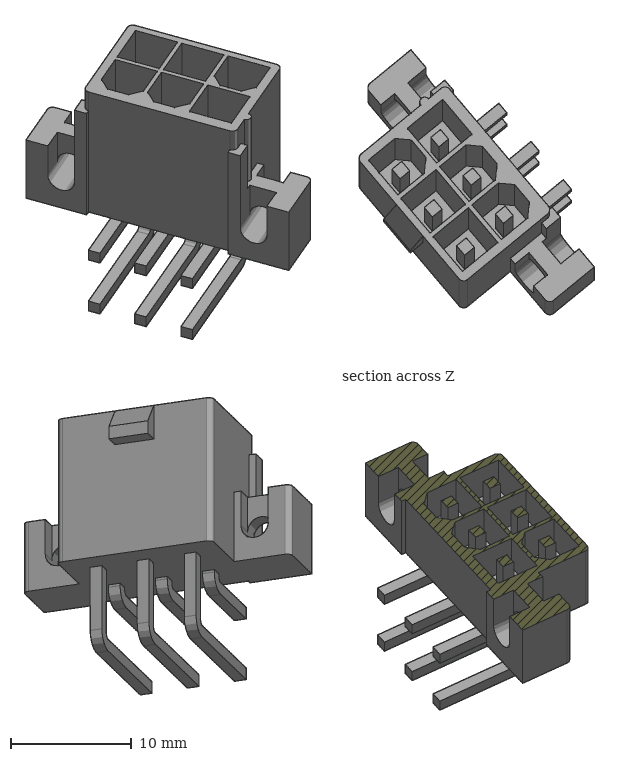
import cadquery as cq


columns = 3
rows = 2
contact_pitch = 4.2
housing_width = 13.78
housing_back = 4.62
housing_front = -5.0
housing_height = 12.8
corner_radius = 0.5

cavity_size = 3.8
cavity_depth = 10.0
cavity_chamfer = 0.95
chamfered_cavities = [(0, 0), (1, 0), (2, 1)]

pin_size = 1.05
pin_tip_recess = 3.33
pin_front = -8.9
pin_bottoms = [-1.67, -7.1]
pin_inner_radius = 0.4

ramp_width = 3.45
ramp_reach = 1.38
ramp_slope_height = 1.9
ramp_lip_height = 1.12

overall_width = 23.8
flange_front = -5.4
flange_depth = 4.9
flange_height = 6.2
flange_inner_x = 6.4
tower_depth = 1.52
tower_height = 10.8

hole_diameter = 2.4
hole_x = 8.7
hole_z = flange_height / 2
web_thickness = 1.43
web_y = -2.71

rib_radius = 0.4


def block(x_range, y_range, z_range):
    """Box spanning the given (low, high) range along each axis."""
    ranges = (x_range, y_range, z_range)
    sizes = [high - low for low, high in ranges]
    corner = tuple(low for low, high in ranges)
    return cq.Workplane("XY").box(*sizes, centered=False).translate(corner)


def contact_position(column, row):
    x = (column - (columns - 1) / 2) * contact_pitch
    y = (row - (rows - 1) / 2) * contact_pitch
    return x, y


def make_housing():
    half_width = housing_width / 2
    body = block((-half_width, half_width), (housing_front, housing_back), (0, housing_height))
    body = body.edges("|Z").fillet(corner_radius)
    rib = cq.Workplane("XY").center(half_width, web_y).circle(rib_radius).extrude(housing_height)
    return body.union(rib)


def make_ramp():
    tip_y = housing_back + ramp_reach
    lip_top = housing_height - ramp_slope_height
    lip_bottom = lip_top - ramp_lip_height
    profile = [
        (0, housing_height),
        (housing_back, housing_height),
        (tip_y, lip_top),
        (tip_y, lip_bottom),
        (0, lip_bottom),
    ]
    return cq.Workplane("YZ").polyline(profile).close().extrude(ramp_width / 2, both=True)


def make_slot(y_range):
    """Round-bottomed slot at the hole axis, open at the top."""
    radius = hole_diameter / 2
    depth = y_range[1] - y_range[0]
    opening = block((hole_x - radius, hole_x + radius), y_range, (hole_z, flange_height))
    round_end = (
        cq.Workplane("XZ", origin=(hole_x, y_range[1], hole_z)).circle(radius).extrude(depth)
    )
    return opening.union(round_end)


def make_flange():
    """Flange on the +X side, with its tower, slots and mounting hole."""
    flange_back = flange_front + flange_depth
    y_range = (flange_front, flange_back)
    flange = block((flange_inner_x, overall_width / 2), y_range, (0, flange_height))
    flange = flange.edges("|Z and >X and >Y").fillet(corner_radius)

    tower_outer_x = hole_x - hole_diameter / 2
    tower = block(
        (flange_inner_x, tower_outer_x), (flange_front, flange_front + tower_depth), (0, tower_height)
    )

    web_front = web_y - web_thickness / 2
    web_back = web_y + web_thickness / 2
    hole = (
        cq.Workplane("XZ", origin=(hole_x, flange_back, hole_z))
        .circle(hole_diameter / 2)
        .extrude(flange_depth)
    )
    flange = flange.cut(make_slot((flange_front, web_front)))
    flange = flange.cut(make_slot((web_back, flange_back)))
    return flange.cut(hole).union(tower)


def make_cavity(column, row):
    x, y = contact_position(column, row)
    cavity = cq.Workplane("XY").rect(cavity_size, cavity_size).extrude(cavity_depth)
    if (column, row) in chamfered_cavities:
        cavity = cavity.edges("|Z and <Y").chamfer(cavity_chamfer)
    return cavity.translate((x, y, housing_height - cavity_depth))


def make_pin(column, row):
    x, y = contact_position(column, row)
    bottom = pin_bottoms[row]
    back = y + pin_size / 2
    front = y - pin_size / 2
    tip = housing_height - pin_tip_recess
    outer_radius = pin_inner_radius + pin_size

    stem = block((-pin_size / 2, pin_size / 2), (front, back), (bottom, tip))
    tail = block((-pin_size / 2, pin_size / 2), (pin_front, front), (bottom, bottom + pin_size))
    pin = stem.union(tail)
    pin = pin.edges("|X and >Y and <Z").fillet(outer_radius)
    inner_corner = cq.selectors.NearestToPointSelector((0, front, bottom + pin_size))
    pin = pin.edges(inner_corner).fillet(pin_inner_radius)
    return pin.translate((x, 0, 0))


flange = make_flange()
contacts = [(column, row) for column in range(columns) for row in range(rows)]

result = make_housing().union(make_ramp()).union(flange).union(flange.mirror("YZ"))
for column, row in contacts:
    result = result.cut(make_cavity(column, row))
for column, row in contacts:
    result = result.union(make_pin(column, row))